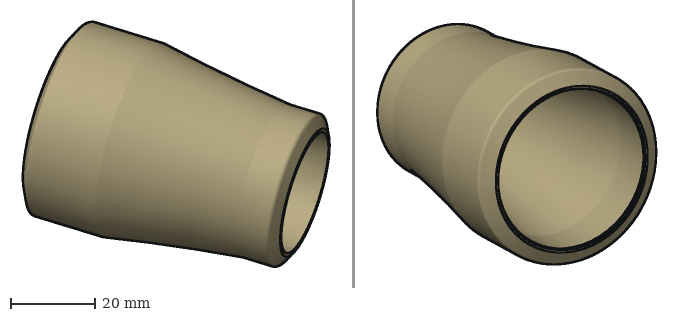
import cadquery as cq
import math

length = 64.0
large_radius = 48.3 / 2
small_radius = 38.1 / 2
large_bore_radius = 39.3 / 2
small_bore_radius = 30.0 / 2
large_collar_length = 20.0
small_collar_length = 10.0
large_bore_length = 12.0
taper_sag = 0.3

land_width = 0.9
lead_in_width = 0.25
lead_in_depth = 0.5
bevel_angle = 30.0
edge_radius = 1.0

taper_end = length - small_collar_length


def bevel_depth(outer_radius, bore_radius):
    """Axial depth of the bevel before its outer edge is rounded."""
    bevel_height = outer_radius - bore_radius - land_width
    return bevel_height * math.tan(math.radians(bevel_angle))


def revolved_body(large_end_radius, small_end_radius, taper_start, large_bevel=0, small_bevel=0):
    """Revolve two cylinders joined by a slightly concave taper, with optional end bevels."""
    large_face_radius = large_end_radius - large_bevel / math.tan(math.radians(bevel_angle))
    small_face_radius = small_end_radius - small_bevel / math.tan(math.radians(bevel_angle))
    taper_middle = (taper_start + taper_end) / 2
    middle_radius = (large_end_radius + small_end_radius) / 2 - taper_sag
    profile = cq.Workplane("XY").moveTo(0, 0).lineTo(0, large_face_radius)
    if large_bevel:
        profile = profile.lineTo(large_bevel, large_end_radius)
    profile = (
        profile.lineTo(taper_start, large_end_radius)
        .threePointArc((taper_middle, middle_radius), (taper_end, small_end_radius))
        .lineTo(length - small_bevel, small_end_radius)
    )
    if small_bevel:
        profile = profile.lineTo(length, small_face_radius)
    return profile.lineTo(length, 0).close().revolve(360, (0, 0, 0), (1, 0, 0))


large_bevel = bevel_depth(large_radius, large_bore_radius)
small_bevel = bevel_depth(small_radius, small_bore_radius)
body = revolved_body(large_radius, small_radius, large_collar_length, large_bevel, small_bevel)

for bevel_position in (large_bevel, length - small_bevel):
    edge_selector = cq.selectors.BoxSelector(
        (bevel_position - edge_radius / 2, -length, -length),
        (bevel_position + edge_radius / 2, length, length),
    )
    body = body.edges("%CIRCLE").edges(edge_selector).fillet(edge_radius)

bore = revolved_body(large_bore_radius, small_bore_radius, large_bore_length)
lead_in = cq.Workplane("XY").add(
    cq.Solid.makeCone(
        large_bore_radius + lead_in_width,
        large_bore_radius,
        lead_in_depth,
        dir=cq.Vector(1, 0, 0),
    )
)
result = body.cut(bore).cut(lead_in)